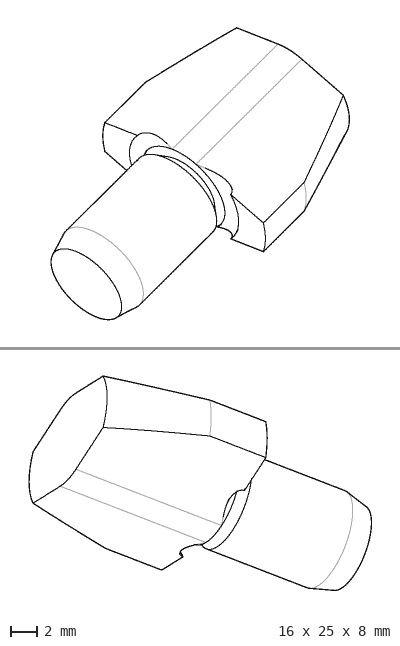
import cadquery as cq
import math

shank_radius = 4
shank_length = 12
tip_length = 2
neck_length = 1
head_length = 13
head_radius = 7.98
straight_length = 5
flank_angle = math.radians(17)
taper_angle = math.radians(15)
groove_outer_radius = 5.35

tip_radius = shank_radius - tip_length * math.tan(taper_angle)
neck_radius = shank_radius - neck_length
head_end_radius = head_radius - (head_length - straight_length) * math.tan(taper_angle)
groove_radius = (groove_outer_radius - shank_radius) / 2
groove_center = shank_radius + groove_radius


def revolve_about_y(profile):
    """Turn a closed XY profile once around the pin axis."""
    return profile.revolve(360, (0, 0, 0), (0, 1, 0))


def make_shank():
    """Round pin with a tapered tip and a 45 degree neck at the shoulder."""
    profile = (
        cq.Workplane("XY")
        .moveTo(0, -shank_length)
        .lineTo(tip_radius, -shank_length)
        .lineTo(shank_radius, -shank_length + tip_length)
        .lineTo(shank_radius, -neck_length)
        .lineTo(neck_radius, 0)
        .lineTo(0, 0)
        .close()
    )
    return revolve_about_y(profile)


def make_head():
    """Turned and tapered blank, flattened to a rounded diamond section."""
    blank = revolve_about_y(
        cq.Workplane("XY")
        .lineTo(head_radius, 0)
        .lineTo(head_radius, straight_length)
        .lineTo(head_end_radius, head_length)
        .lineTo(0, head_length)
        .close()
    )

    tangent_x = shank_radius * math.sin(flank_angle)
    tangent_z = shank_radius * math.cos(flank_angle)
    side_z = tangent_z - (head_radius - tangent_x) * math.tan(flank_angle)
    section = (
        cq.Workplane("XZ")
        .moveTo(-tangent_x, tangent_z)
        .threePointArc((0, shank_radius), (tangent_x, tangent_z))
        .lineTo(head_radius, side_z)
        .lineTo(head_radius, -side_z)
        .lineTo(tangent_x, -tangent_z)
        .threePointArc((0, -shank_radius), (-tangent_x, -tangent_z))
        .lineTo(-head_radius, -side_z)
        .lineTo(-head_radius, side_z)
        .close()
        .extrude(-head_length)
    )
    return blank.intersect(section)


def make_groove():
    """Ring cutter for the half-round relief around the shank in the shoulder."""
    return revolve_about_y(cq.Workplane("XY").moveTo(groove_center, 0).circle(groove_radius))


result = make_head().cut(make_groove()).union(make_shank())